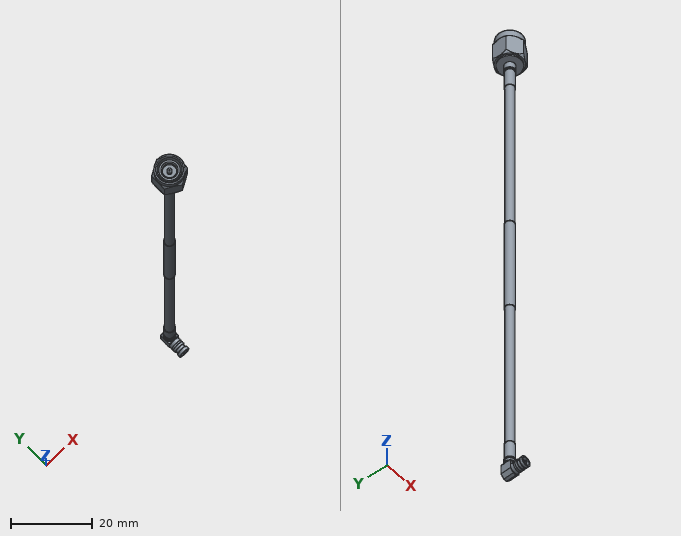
import cadquery as cq
import math


TOTAL_LENGTH = 164.6
TOTAL_DEPTH = 9.9

CABLE_RADIUS = 1.28
SHRINK_RADIUS = 1.45
UPPER_SHRINK_BOTTOM = 147.0
LOWER_SHRINK_TOP = 12.2
MARKER_BOTTOM = 63.7
MARKER_TOP = 95.5

HEX_SIDES = 6
NUT_ACROSS_FLATS = 7.9
NUT_CORNER_RADIUS = NUT_ACROSS_FLATS / math.sqrt(3)
NUT_BOTTOM = 155.4
NUT_COLLAR_BOTTOM = 162.5
NUT_COLLAR_STEP = 0.08
NUT_COLLAR_RADIUS = NUT_ACROSS_FLATS / 2 - NUT_COLLAR_STEP
NUT_BORE_RADIUS = 3.1
NUT_MOUTH_CHAMFER = 0.3
NUT_STEP_RADIUS = 3.5
NUT_STEP_HEIGHT = 0.5
NUT_FLOOR_TOP = 156.7
NUT_TOP_CHAMFER_HEIGHT = 0.7
NUT_BOTTOM_CHAMFER_HEIGHT = 0.8

BARREL_RADIUS = 1.51
BARREL_BOTTOM = 153.0
BARREL_RIM_RADIUS = 1.56
BARREL_RIM_HEIGHT = 0.5
SLEEVE_RADIUS = 2.6
SLEEVE_BORE_RADIUS = 1.8
SLEEVE_MOUTH_CHAMFER = 0.3
SLEEVE_TOP = 163.8
SLEEVE_FLOOR = 162.2

CONTACT_RADIUS = 0.7
CONTACT_LENGTH = 3.0
CONTACT_TIP_CHAMFER = 0.5
CONTACT_DEPTH = 1.3

PLUG_BODY_RADIUS = 1.56
BLOCK_TOP = 4.3
BLOCK_CHAMFER = 1.05
BLOCK_COLLAR_TOP = 4.8
NECK_RADIUS = 1.42
FLANGE_BOTTOM = 5.8
FLANGE_TOP = 6.3

SNAP_AXIS_HEIGHT = 2.0
SNAP_RADIUS = PLUG_BODY_RADIUS
SNAP_TIP = TOTAL_DEPTH - NUT_CORNER_RADIUS
SNAP_GROOVE_RADIUS = 1.3
SNAP_GROOVE_START = 3.6
SNAP_GROOVE_END = 4.5
RING_GROOVE_RADIUS = 1.51
RING_GROOVE_START = 2.5
RING_GROOVE_END = 3.0
SNAP_BORE_RADIUS = 1.2
SNAP_BORE_DEPTH = 2.0
SNAP_PIN_RADIUS = 0.3


def cylinder(radius, bottom, top):
    """Round bar on the cable axis between two heights."""
    return cq.Workplane("XY").workplane(offset=bottom).circle(radius).extrude(top - bottom)


def forward_cylinder(radius, start, end):
    """Round bar on the snap axis, between two distances from the cable axis toward -Y."""
    base = cq.Workplane("XZ", origin=(0, -start, SNAP_AXIS_HEIGHT))
    return base.circle(radius).extrude(end - start)


def make_shrink_tube(bottom, top):
    return cylinder(SHRINK_RADIUS, bottom, top).cut(cylinder(CABLE_RADIUS, bottom, top))


def make_nut():
    hexagon = (
        cq.Workplane("XY")
        .workplane(offset=NUT_BOTTOM)
        .polygon(HEX_SIDES, 2 * NUT_CORNER_RADIUS)
        .extrude(NUT_COLLAR_BOTTOM - NUT_BOTTOM)
        .rotate((0, 0, 0), (0, 0, 1), 180 / HEX_SIDES)
    )
    step_top = NUT_BOTTOM + NUT_STEP_HEIGHT
    chamfer_envelope = (
        cq.Workplane("XZ")
        .polyline(
            [
                (0, NUT_BOTTOM),
                (NUT_STEP_RADIUS, NUT_BOTTOM),
                (NUT_STEP_RADIUS, step_top),
                (NUT_COLLAR_RADIUS, step_top),
                (NUT_CORNER_RADIUS, step_top + NUT_BOTTOM_CHAMFER_HEIGHT),
                (NUT_CORNER_RADIUS, NUT_COLLAR_BOTTOM - NUT_TOP_CHAMFER_HEIGHT),
                (NUT_COLLAR_RADIUS, NUT_COLLAR_BOTTOM),
                (0, NUT_COLLAR_BOTTOM),
            ]
        )
        .close()
        .revolve(360, (0, 0, 0), (0, 1, 0))
    )
    return (
        hexagon.intersect(chamfer_envelope)
        .union(cylinder(NUT_COLLAR_RADIUS, NUT_COLLAR_BOTTOM, TOTAL_LENGTH))
        .cut(cylinder(NUT_BORE_RADIUS, NUT_FLOOR_TOP, TOTAL_LENGTH))
        .faces(">Z")
        .edges(cq.selectors.RadiusNthSelector(0))
        .chamfer(NUT_MOUTH_CHAMFER)
        .cut(cylinder(BARREL_RADIUS, NUT_BOTTOM, NUT_FLOOR_TOP))
    )


def make_threaded_plug_body():
    barrel = cylinder(BARREL_RADIUS, BARREL_BOTTOM, NUT_FLOOR_TOP)
    rim = cylinder(BARREL_RIM_RADIUS, BARREL_BOTTOM, BARREL_BOTTOM + BARREL_RIM_HEIGHT)
    sleeve = (
        cylinder(SLEEVE_RADIUS, NUT_FLOOR_TOP, SLEEVE_TOP)
        .cut(cylinder(SLEEVE_BORE_RADIUS, SLEEVE_FLOOR, SLEEVE_TOP))
        .faces(">Z")
        .edges(cq.selectors.RadiusNthSelector(0))
        .chamfer(SLEEVE_MOUTH_CHAMFER)
    )
    socket = cylinder(CONTACT_RADIUS, SLEEVE_FLOOR - CONTACT_DEPTH, SLEEVE_FLOOR)
    return barrel.union(rim).union(sleeve).cut(socket)


def make_contact():
    bottom = SLEEVE_FLOOR - CONTACT_DEPTH
    pin = cylinder(CONTACT_RADIUS, bottom, bottom + CONTACT_LENGTH)
    return pin.faces(">Z").chamfer(CONTACT_TIP_CHAMFER)


def make_snap_plug_body():
    block = (
        cq.Workplane("XY")
        .box(2 * PLUG_BODY_RADIUS, 2 * PLUG_BODY_RADIUS, BLOCK_TOP, centered=(True, True, False))
        .faces("<Z")
        .edges("|Y")
        .chamfer(BLOCK_CHAMFER)
    )
    collar = cylinder(PLUG_BODY_RADIUS, BLOCK_TOP, BLOCK_COLLAR_TOP)
    neck = cylinder(NECK_RADIUS, BLOCK_COLLAR_TOP, FLANGE_BOTTOM)
    flange = cylinder(PLUG_BODY_RADIUS, FLANGE_BOTTOM, FLANGE_TOP)
    return block.union(collar).union(neck).union(flange).union(make_snap_barrel())


def make_snap_barrel():
    barrel = forward_cylinder(SNAP_RADIUS, PLUG_BODY_RADIUS, SNAP_TIP)
    grooves = [
        (RING_GROOVE_RADIUS, RING_GROOVE_START, RING_GROOVE_END),
        (SNAP_GROOVE_RADIUS, SNAP_GROOVE_START, SNAP_GROOVE_END),
    ]
    for radius, start, end in grooves:
        groove = forward_cylinder(SNAP_RADIUS, start, end).cut(forward_cylinder(radius, start, end))
        barrel = barrel.cut(groove)
    bore_floor = SNAP_TIP - SNAP_BORE_DEPTH
    bore = forward_cylinder(SNAP_BORE_RADIUS, bore_floor, SNAP_TIP)
    pin = forward_cylinder(SNAP_PIN_RADIUS, bore_floor, SNAP_TIP)
    return barrel.cut(bore).union(pin)


nut = make_nut()
threaded_plug_body = make_threaded_plug_body()
contact = make_contact()
cable = cylinder(CABLE_RADIUS, FLANGE_TOP, BARREL_BOTTOM)
tube_spans = [
    (UPPER_SHRINK_BOTTOM, BARREL_BOTTOM),
    (MARKER_BOTTOM, MARKER_TOP),
    (FLANGE_TOP, LOWER_SHRINK_TOP),
]
shrink_tubes = [make_shrink_tube(bottom, top) for bottom, top in tube_spans]
snap_plug_body = make_snap_plug_body()

result = cq.Compound.makeCompound(
    [
        nut.val(),
        threaded_plug_body.val(),
        contact.val(),
        cable.val(),
        *[tube.val() for tube in shrink_tubes],
        snap_plug_body.val(),
    ]
)